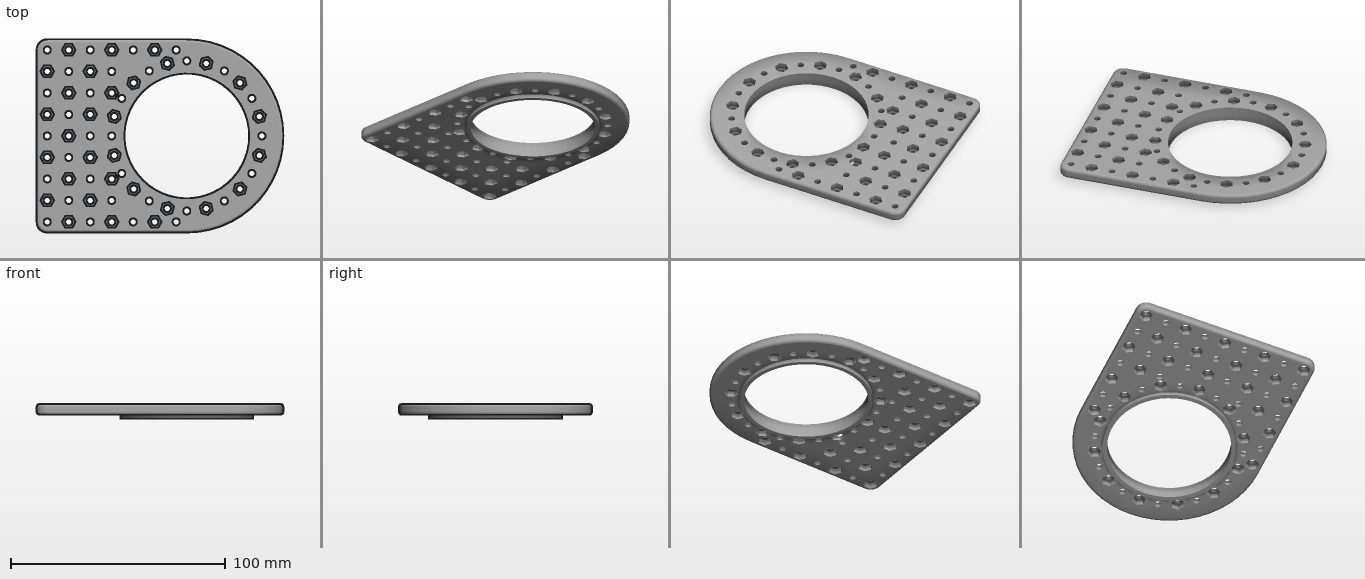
import cadquery as cq
import math

total_height = 7.0

plate_length = 115.0
plate_width = 90.0
plate_thickness = 5.1
rim_fillet = 1.5

opening_diameter = 58.0
collar_diameter = 62.0

screw_diameter = 3.2
nut_sides = 6
nut_across_corners = 6.4
nut_pocket_depth = 3.0

grid_pitch = 10.0
long_row_columns = 7
short_row_columns = 4
edge_row = 4
interrupted_row = 1

ring_radius = 35.0
ring_count = 24

end_radius = plate_width / 2
left_edge = end_radius - plate_length
grid_margin = grid_pitch / 2
corner_radius = grid_margin
collar_height = total_height - plate_thickness


def make_plate():
    """Plate with a semicircular right end around the origin and all outer rims rounded."""
    outline = (
        cq.Workplane("XY")
        .moveTo(0, -end_radius)
        .threePointArc((end_radius, 0), (0, end_radius))
        .lineTo(left_edge, end_radius)
        .lineTo(left_edge, -end_radius)
        .close()
    )
    plate = outline.extrude(plate_thickness)
    plate = plate.edges("|Z and <X").fillet(corner_radius)
    return plate.faces("<Z or >Z").edges().fillet(rim_fillet)


def grid_holes():
    """(x, y, turn, nut_on_top) of the square grid; nuts alternate between the two faces."""
    first_x = left_edge + grid_margin
    holes = []
    for row in range(-edge_row, edge_row + 1):
        columns = long_row_columns if abs(row) == edge_row else short_row_columns
        for column in range(columns):
            if abs(row) <= interrupted_row and column == short_row_columns - 1:
                continue
            nut_on_top = (row + column) % 2 == 1
            holes.append((first_x + column * grid_pitch, row * grid_pitch, 0, nut_on_top))
    return holes


def ring_holes():
    """(x, y, turn, nut_on_top) of the ring; each nut has a corner pointing at the center."""
    holes = []
    for index in range(ring_count):
        turn = index * 360 / ring_count
        x = ring_radius * math.cos(math.radians(turn))
        y = ring_radius * math.sin(math.radians(turn))
        holes.append((x, y, turn, index % 2 == 1))
    return holes


def hole_cutter(x, y, turn, nut_on_top):
    """Through screw hole joined with a nut pocket in the upper or lower face."""
    pocket_floor = plate_thickness - nut_pocket_depth if nut_on_top else 0
    screw = cq.Workplane("XY").circle(screw_diameter / 2).extrude(plate_thickness)
    nut = (
        cq.Workplane("XY", origin=(0, 0, pocket_floor))
        .polygon(nut_sides, nut_across_corners)
        .extrude(nut_pocket_depth)
    )
    return screw.union(nut).rotate((0, 0, 0), (0, 0, 1), turn).translate((x, y, 0))


collar = cq.Workplane("XY").circle(collar_diameter / 2).extrude(-collar_height)
opening = (
    cq.Workplane("XY", origin=(0, 0, -collar_height))
    .circle(opening_diameter / 2)
    .extrude(collar_height + plate_thickness)
)
body = make_plate().union(collar).cut(opening)
cutters = [hole_cutter(*hole).val() for hole in grid_holes() + ring_holes()]
result = cq.Workplane(body.val().cut(*cutters))